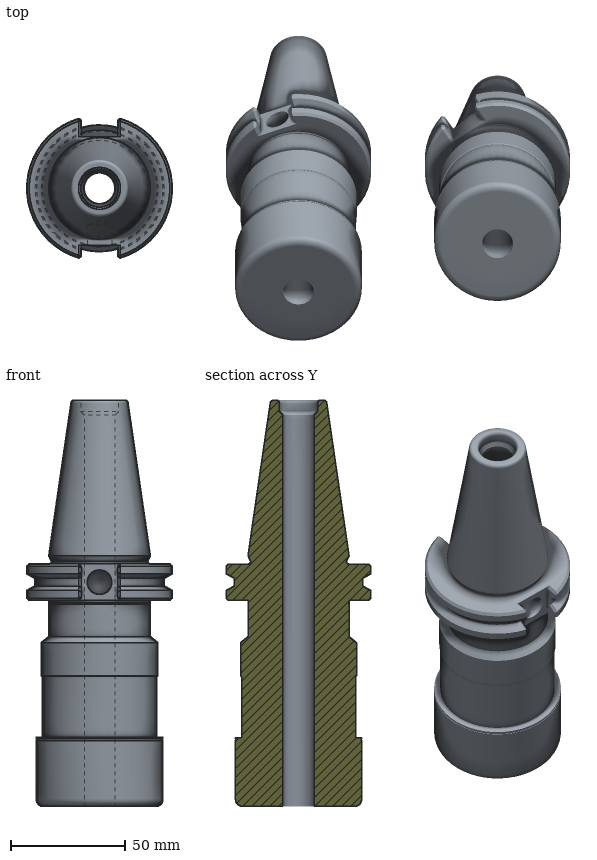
import cadquery as cq

tolerance = 0.02

total_height = 177.5
nut_top = 30.2
nut_groove_bottom = 28.8
nut_groove_top = 29.6
collar_bottom = 56.8
collar_top = 71.5
shoulder_top = 74.2
neck_groove_bottom = 88.4
neck_groove_top = 89.0
flange_bottom = 90.0
flange_top = 106.0
flange_middle = (flange_bottom + flange_top) / 2
relief_floor = 107.0
taper_bottom = 109.5

nut_diameter = 55.4
nut_groove_diameter = 55.0
body_diameter = 50.0
collar_diameter = 51.0
neck_diameter = 44.4
neck_groove_diameter = 44.0
flange_diameter = 63.5
groove_diameter = 56.5
relief_diameter = 42.0
taper_diameter = 44.4
taper_ratio = 7 / 24

nut_fillet = 3.2
collar_chamfer = 0.4
flange_chamfer = 1.0
taper_fillet = 1.5

groove_floor_width = 3.4
groove_mouth_width = 7.3

slot_width = 16.0
slot_chamfer = 1.0
front_slot_floor = 24.8
back_slot_floor = 22.5

drill_diameter = 10.6
drill_depth = 8.9
drill_tip_depth = 2.1

bore_diameter = 13.5
counterbore_diameter = 16.5
counterbore_depth = 5.0
bore_seat_height = (counterbore_diameter - bore_diameter) / 2
mouth_diameter = 18.3
mouth_depth = 1.5


def cylinder(diameter, bottom, top):
    return cq.Workplane("XY").workplane(offset=bottom).circle(diameter / 2).extrude(top - bottom)


def revolve_about_z(profile):
    """Solid of revolution from (radius, height) points."""
    return cq.Workplane("XZ").polyline(profile).close().revolve(360, (0, 0), (0, 1))


def cone(bottom_diameter, top_diameter, bottom, top):
    return revolve_about_z([
        (0, bottom),
        (bottom_diameter / 2, bottom),
        (top_diameter / 2, top),
        (0, top),
    ])


def ring(inner_diameter, outer_diameter, bottom, top):
    return cylinder(outer_diameter, bottom, top).cut(cylinder(inner_diameter, bottom, top))


def make_nut():
    nut = cylinder(nut_diameter, 0, nut_top).faces("<Z").edges().fillet(nut_fillet)
    return nut.cut(ring(nut_groove_diameter, flange_diameter, nut_groove_bottom, nut_groove_top))


def make_body():
    body = cylinder(body_diameter, nut_top, collar_bottom)
    collar = cylinder(collar_diameter, collar_bottom, collar_top)
    body = body.union(collar.faces("<Z").edges().chamfer(collar_chamfer))
    body = body.union(cone(collar_diameter, neck_diameter, collar_top, shoulder_top))
    body = body.union(cylinder(neck_diameter, shoulder_top, flange_bottom))
    return body.cut(ring(neck_groove_diameter, flange_diameter, neck_groove_bottom, neck_groove_top))


def make_v_groove():
    """Cutter for the V-groove around the rim of the flange."""
    floor_radius = groove_diameter / 2
    rim_radius = flange_diameter / 2
    return revolve_about_z([
        (floor_radius, flange_middle - groove_floor_width / 2),
        (rim_radius, flange_middle - groove_mouth_width / 2),
        (rim_radius, flange_middle + groove_mouth_width / 2),
        (floor_radius, flange_middle + groove_floor_width / 2),
    ])


def make_slot(floor, side):
    """Cutter for one drive slot, on the +Y (side = 1) or -Y (side = -1) side."""
    rim_radius = flange_diameter / 2
    slot = cq.Workplane("XY").box(slot_width, rim_radius - floor, flange_top - flange_bottom)
    return slot.translate((0, side * (rim_radius + floor) / 2, flange_middle))


def slot_wall_edges(flange):
    """Outer edges of the four slot walls, leaving out the edges shared with the slot floors."""
    floors = (back_slot_floor, -front_slot_floor)
    edges = flange.faces("|X").edges().vals()
    return [edge for edge in edges if all(abs(edge.Center().y - floor) > tolerance for floor in floors)]


def make_drill():
    """Cutter for the drilled hole with its conical tip."""
    profile = [
        (0, -front_slot_floor),
        (drill_diameter / 2, -front_slot_floor),
        (drill_diameter / 2, -front_slot_floor + drill_depth),
        (0, -front_slot_floor + drill_depth + drill_tip_depth),
    ]
    drill = cq.Workplane("XY").polyline(profile).close().revolve(360, (0, 0), (0, 1))
    return drill.translate((0, 0, flange_middle))


def make_flange():
    flange = cylinder(flange_diameter, flange_bottom, flange_top).edges().chamfer(flange_chamfer)
    flange = flange.cut(make_v_groove())
    flange = flange.cut(make_slot(back_slot_floor, 1)).cut(make_slot(front_slot_floor, -1))
    flange = flange.newObject(slot_wall_edges(flange)).chamfer(slot_chamfer)
    return flange.cut(make_drill())


def make_relief():
    """Undercut between the flange and the taper, running into the flange with a concave arc."""
    arc_radius = relief_floor - flange_top
    floor_radius = relief_diameter / 2
    return (
        cq.Workplane("XZ")
        .moveTo(0, flange_top)
        .lineTo(floor_radius + arc_radius, flange_top)
        .radiusArc((floor_radius, relief_floor), arc_radius)
        .lineTo(taper_diameter / 2, taper_bottom)
        .lineTo(0, taper_bottom)
        .close()
        .revolve(360, (0, 0), (0, 1))
    )


def make_taper():
    tip_diameter = taper_diameter - (total_height - taper_bottom) * taper_ratio
    taper = cone(taper_diameter, tip_diameter, taper_bottom, total_height)
    taper = taper.faces(">Z").edges().fillet(taper_fillet)
    return taper.union(make_relief())


def make_bore():
    """Cutter for the bore, with a conical seat under the counterbore and a rounded mouth."""
    bore_radius = bore_diameter / 2
    counterbore_radius = counterbore_diameter / 2
    mouth_radius = mouth_diameter / 2
    seat_top = total_height - counterbore_depth
    mouth_flare = mouth_radius - counterbore_radius
    mouth_arc_radius = (mouth_depth**2 + mouth_flare**2) / (2 * mouth_flare)
    return (
        cq.Workplane("XZ")
        .lineTo(bore_radius, 0)
        .lineTo(bore_radius, seat_top - bore_seat_height)
        .lineTo(counterbore_radius, seat_top)
        .lineTo(counterbore_radius, total_height - mouth_depth)
        .radiusArc((mouth_radius, total_height), mouth_arc_radius)
        .lineTo(0, total_height)
        .close()
        .revolve(360, (0, 0), (0, 1))
    )


result = make_nut().union(make_body()).union(make_flange()).union(make_taper()).cut(make_bore())